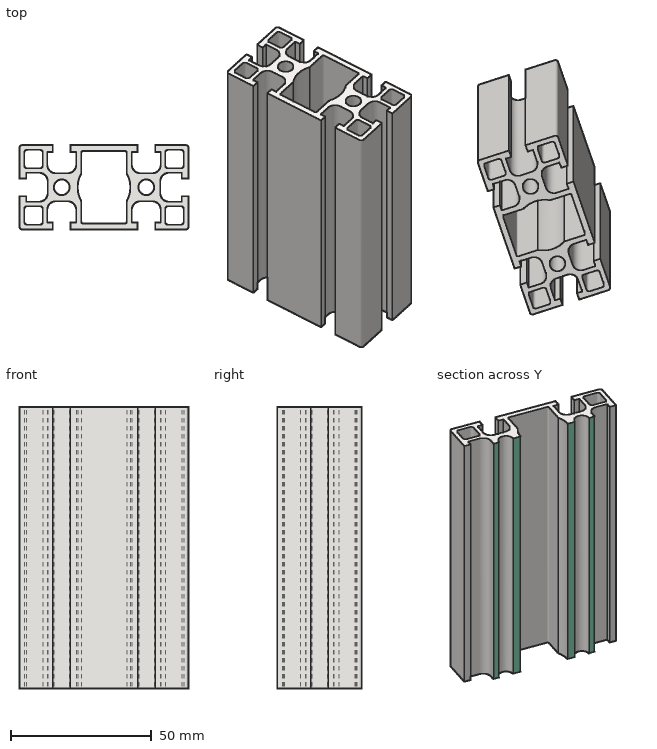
import cadquery as cq

module = 30.0
width = 2 * module
depth = module
length = 100.0
corner_radius = 1.0

slot_opening = 6.2
lip_thickness = 2.5
slot_depth = 10.0
slot_width = 10.2
slot_floor_radius = 3.0

tube_size = 6.5
tube_radius = 1.0
tube_center = module / 2 - slot_depth / 2
core_bore_diameter = 5.5

cavity_half_width = 8.0
cavity_wall = 2.2
cavity_radius = 0.5
bulge_tip_x = 9.3
bulge_radius = 10.0

cell_x = width / 2 - module / 2


def box(size_x, size_y, center_x, center_y):
    """Full-length block centred on (center_x, center_y)."""
    return cq.Workplane("XY").center(center_x, center_y).rect(size_x, size_y).extrude(length)


def t_slot():
    """T-slot cutter for the +Y face of a cell centred on the origin."""
    face = module / 2
    chamber_height = slot_depth - lip_thickness
    chamber = box(slot_width, chamber_height, 0, face - lip_thickness - chamber_height / 2)
    chamber = chamber.edges("|Z and <Y").fillet(slot_floor_radius)
    opening = box(slot_opening, lip_thickness, 0, face - lip_thickness / 2)
    return chamber.union(opening)


def left_cell_cutter():
    """Everything removed from the left cell except the shared central cavity."""
    cutter = t_slot()
    for angle in (90, 180):
        cutter = cutter.union(t_slot().rotate((0, 0, 0), (0, 0, 1), angle))

    for side in (-1, 1):
        tube = box(tube_size, tube_size, -tube_center, side * tube_center)
        cutter = cutter.union(tube.edges("|Z").fillet(tube_radius))

    bore = cq.Workplane("XY").circle(core_bore_diameter / 2).extrude(length)
    return cutter.union(bore).translate((-cell_x, 0, 0))


def central_cavity():
    """Rectangular hollow between the cells, bulging into both cores."""
    cavity_depth = depth - 2 * cavity_wall
    cavity = box(2 * cavity_half_width, cavity_depth, 0, 0)
    cavity = cavity.edges("|Z").fillet(cavity_radius)
    for side in (-1, 1):
        bulge_center = side * (bulge_tip_x - bulge_radius)
        bulge = cq.Workplane("XY").center(bulge_center, 0).circle(bulge_radius).extrude(length)
        reach = box(bulge_tip_x, cavity_depth, side * bulge_tip_x / 2, 0)
        cavity = cavity.union(bulge.intersect(reach))
    return cavity


body = box(width, depth, 0, 0).edges("|Z").fillet(corner_radius)
left_cutter = left_cell_cutter()
result = body.cut(left_cutter).cut(left_cutter.mirror("YZ")).cut(central_cavity())